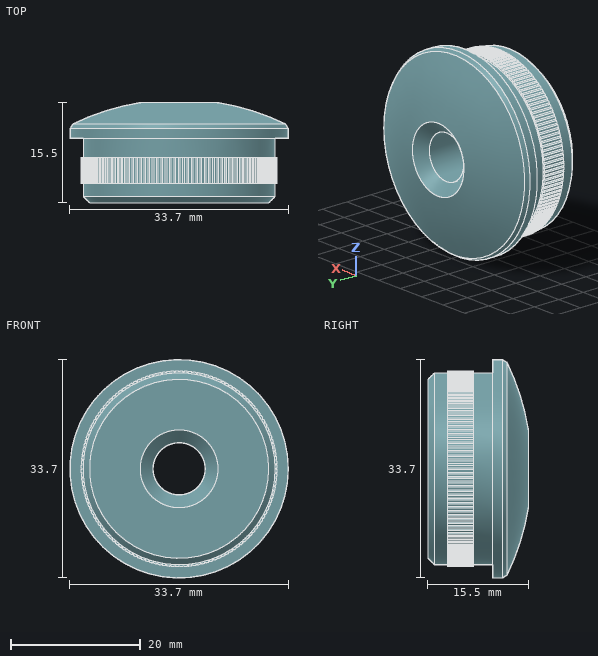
import cadquery as cq
import math


plug_radius = 29.6 / 2
plug_chamfer = 1.0
plug_length = 10.0

flange_radius = 33.7 / 2
flange_thickness = 2.0
flange_chamfer = 0.5
dome_rise = 4.0
flange_top = plug_length + flange_thickness
dome_apex = flange_top + dome_rise
dome_radius = (flange_radius**2 + dome_rise**2) / (2 * dome_rise)

hole_radius = 8.0 / 2
hole_chamfer = 2.0

knurl_radius = 30.2 / 2
knurl_start = 3.0
knurl_width = 4.0
knurl_bore_radius = (hole_radius + plug_radius) / 2
groove_count = 140
groove_radius = 0.13


def dome_height(radius):
    """Y position of the dome surface at a given distance from the axis."""
    return dome_apex - dome_radius + math.sqrt(dome_radius**2 - radius**2)


def radial_run(chamfer, radius):
    """Radial width of a chamfer leg laid along the dome's slope at a radius."""
    return chamfer * math.cos(math.asin(radius / dome_radius))


def make_body():
    """Revolve the half section of plug, flange, dome and through hole."""
    dome_outer_radius = flange_radius - radial_run(flange_chamfer, flange_radius)
    dome_inner_radius = hole_radius + radial_run(hole_chamfer, hole_radius)
    dome_mid_radius = (dome_outer_radius + dome_inner_radius) / 2
    half_section = (
        cq.Workplane("XY")
        .moveTo(hole_radius + hole_chamfer, 0)
        .lineTo(plug_radius - plug_chamfer, 0)
        .lineTo(plug_radius, plug_chamfer)
        .lineTo(plug_radius, plug_length)
        .lineTo(flange_radius, plug_length)
        .lineTo(flange_radius, flange_top - flange_chamfer)
        .lineTo(dome_outer_radius, dome_height(dome_outer_radius))
        .threePointArc(
            (dome_mid_radius, dome_height(dome_mid_radius)),
            (dome_inner_radius, dome_height(dome_inner_radius)),
        )
        .lineTo(hole_radius, dome_height(hole_radius) - hole_chamfer)
        .lineTo(hole_radius, hole_chamfer)
        .close()
    )
    return half_section.revolve(360, (0, 0, 0), (0, 1, 0))


def make_knurled_band():
    """Ring around the plug with evenly spaced round grooves along the axis."""
    base = cq.Workplane("XZ", origin=(0, knurl_start, 0))
    ring = base.circle(knurl_radius).circle(knurl_bore_radius).extrude(-knurl_width)
    grooves = (
        base.polarArray(knurl_radius, 0, 360, groove_count)
        .circle(groove_radius)
        .extrude(-knurl_width)
    )
    return ring.cut(grooves)


result = make_body().union(make_knurled_band())